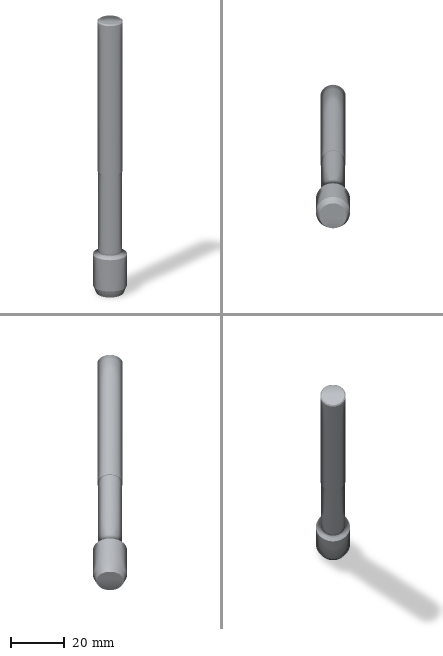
import cadquery as cq

total_length = 110.0

head_diameter = 12.6
nose_diameter = 10.1
nose_height = 3.0
head_height = 16.7
head_bevel_height = 1.1

neck_diameter = 9.0
grip_diameter = 9.5
grip_length = 60.7
grip_chamfer = 0.4

grip_start = total_length - grip_length


def make_head():
    """Turned head with its axis on Z and its nose at the origin."""
    head_radius = head_diameter / 2
    return (
        cq.Workplane("XZ")
        .moveTo(0, 0)
        .lineTo(nose_diameter / 2, 0)
        .lineTo(head_radius, nose_height)
        .lineTo(head_radius, head_height - head_bevel_height)
        .lineTo(neck_diameter / 2, head_height)
        .lineTo(0, head_height)
        .close()
        .revolve(360, (0, 0, 0), (0, 1, 0))
    )


def make_shank():
    """Solid neck standing on the head, topped by the chamfered grip."""
    neck = (
        cq.Workplane("XY", origin=(0, 0, head_height))
        .circle(neck_diameter / 2)
        .extrude(grip_start - head_height)
    )
    grip = (
        cq.Workplane("XY", origin=(0, 0, grip_start))
        .circle(grip_diameter / 2)
        .extrude(grip_length)
        .faces(">Z")
        .chamfer(grip_chamfer)
    )
    return neck.union(grip)


head = make_head()
shank = make_shank()

result = cq.Compound.makeCompound([head.val(), shank.val()])